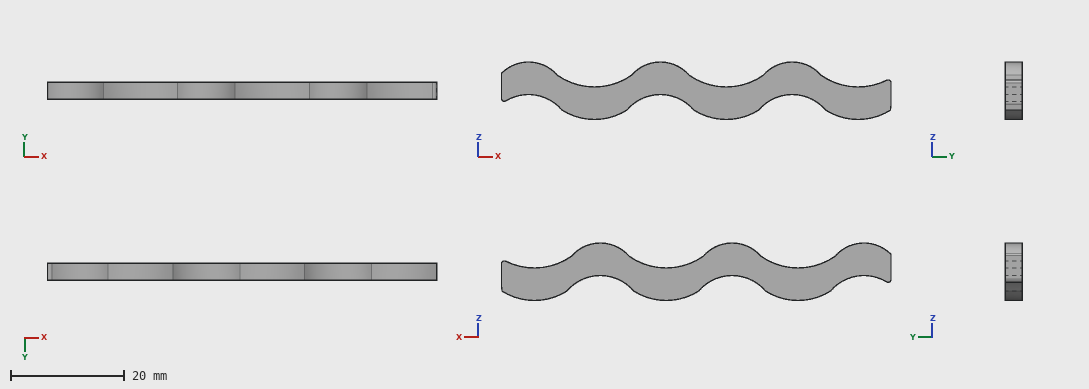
import cadquery as cq

length = 68.45
thickness = 3.0
height = 10.1

pitch = 23.15
first_crest_x = 4.8
strip_depth = 5.75
wave_count = 4

upper_joint_offset = 5.05
upper_joint_z = 2.75
lower_joint_offset = 5.9
lower_joint_z = -3.4

sharp_corner_radius = 0.55
blunt_corner_radius = 0.4

upper_crest_z = height / 2
upper_valley_z = -height / 2 + strip_depth
lower_crest_z = height / 2 - strip_depth
lower_valley_z = -height / 2


def wave_arcs(crest_z, valley_z, joint_offset, joint_z):
    """Return (start, middle, end) of each arc, from left to right."""
    arcs = []
    for wave in range(wave_count):
        crest_x = first_crest_x + (wave - 1) * pitch
        rise = (crest_x - joint_offset, joint_z)
        fall = (crest_x + joint_offset, joint_z)
        next_rise = (rise[0] + pitch, joint_z)
        arcs.append((rise, (crest_x, crest_z), fall))
        arcs.append((fall, (crest_x + pitch / 2, valley_z), next_rise))
    return arcs


def wavy_strip():
    """Extrude the strip between the upper and lower waves along Y."""
    upper = wave_arcs(upper_crest_z, upper_valley_z, upper_joint_offset, upper_joint_z)
    lower = wave_arcs(lower_crest_z, lower_valley_z, lower_joint_offset, lower_joint_z)
    outline = cq.Workplane("XZ").moveTo(*upper[0][0])
    for _, middle, end in upper:
        outline = outline.threePointArc(middle, end)
    outline = outline.lineTo(*lower[-1][2])
    for start, middle, _ in reversed(lower):
        outline = outline.threePointArc(middle, start)
    return outline.close().extrude(thickness / 2, both=True)


def round_end_corners(strip):
    """Round the sharper corner of each end more than the blunter one."""
    strip = strip.faces("<X").edges("|Y").edges("<Z").fillet(sharp_corner_radius)
    strip = strip.faces("<X").edges("|Y").edges(">Z").fillet(blunt_corner_radius)
    strip = strip.faces(">X").edges("|Y").edges(">Z").fillet(sharp_corner_radius)
    return strip.faces(">X").edges("|Y").edges("<Z").fillet(blunt_corner_radius)


envelope = cq.Workplane("XY").box(length, thickness, height).translate((length / 2, 0, 0))
result = round_end_corners(wavy_strip().intersect(envelope))